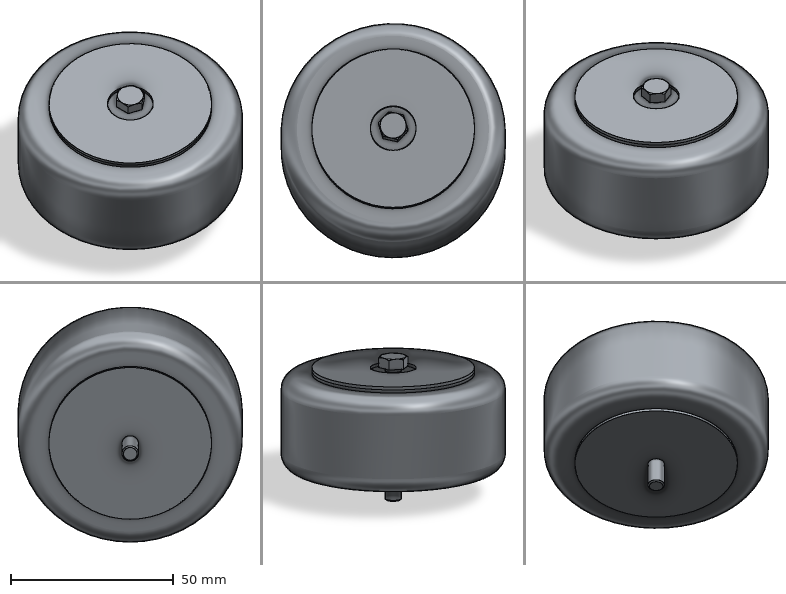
import cadquery as cq
import math

wheel_diameter = 69.0
wheel_height = 30.0
wheel_edge_radius = 5.0
plate_diameter = 50.0
plate_thickness = 1.0
cover_opening_diameter = 14.0

shank_diameter = 5.05
shank_projection = 9.0
shank_chamfer = 0.4
hex_across_flats = 8.0
hex_height = 3.3
hex_chamfer_angle = 30.0
head_clearance = 0.3

wheel_top = wheel_height / 2
wheel_bottom = -wheel_top
cover_bottom = wheel_top + plate_thickness
cover_top = cover_bottom + plate_thickness
base_plate_bottom = wheel_bottom - plate_thickness
shank_bottom = base_plate_bottom - shank_projection
hex_bottom = cover_top + head_clearance
hex_top = hex_bottom + hex_height


def cylinder(diameter, bottom, top):
    """Upright cylinder on the axle between two levels."""
    return cq.Workplane("XY").workplane(offset=bottom).circle(diameter / 2).extrude(top - bottom)


def make_wheel():
    """Wheel with rounded rims and a bore for the bolt shank."""
    body = cylinder(wheel_diameter, wheel_bottom, wheel_top).edges().fillet(wheel_edge_radius)
    return body.cut(cylinder(shank_diameter, wheel_bottom, wheel_top))


def make_plate(bottom, hole_diameter):
    """Flat round plate with a central hole."""
    top = bottom + plate_thickness
    return cylinder(plate_diameter, bottom, top).cut(cylinder(hole_diameter, bottom, top))


def make_hex_head():
    """Hexagonal head with its upper corners cut by a shallow cone."""
    corner_diameter = hex_across_flats / math.cos(math.radians(30))
    head = (
        cq.Workplane("XY")
        .workplane(offset=hex_bottom)
        .polygon(6, corner_diameter)
        .extrude(hex_height)
    )
    corner_radius = corner_diameter / 2
    circle_radius = hex_across_flats / 2
    corner_drop = (corner_radius - circle_radius) * math.tan(math.radians(hex_chamfer_angle))
    envelope = (
        cq.Workplane("XZ")
        .moveTo(0, hex_bottom)
        .lineTo(corner_radius, hex_bottom)
        .lineTo(corner_radius, hex_top - corner_drop)
        .lineTo(circle_radius, hex_top)
        .lineTo(0, hex_top)
        .close()
        .revolve(360, (0, 0, 0), (0, 1, 0))
    )
    return head.intersect(envelope)


def make_bolt():
    """Bolt whose shank passes through the whole stack, with the head just above the cover plate."""
    shank = cylinder(shank_diameter, shank_bottom, hex_bottom).faces("<Z").chamfer(shank_chamfer)
    return shank.union(make_hex_head())


wheel = make_wheel()
base_plate = make_plate(base_plate_bottom, shank_diameter)
upper_plate = make_plate(wheel_top, shank_diameter)
cover_plate = make_plate(cover_bottom, cover_opening_diameter)
bolt = make_bolt()

result = cq.Compound.makeCompound(
    [wheel.val(), base_plate.val(), upper_plate.val(), cover_plate.val(), bolt.val()]
)